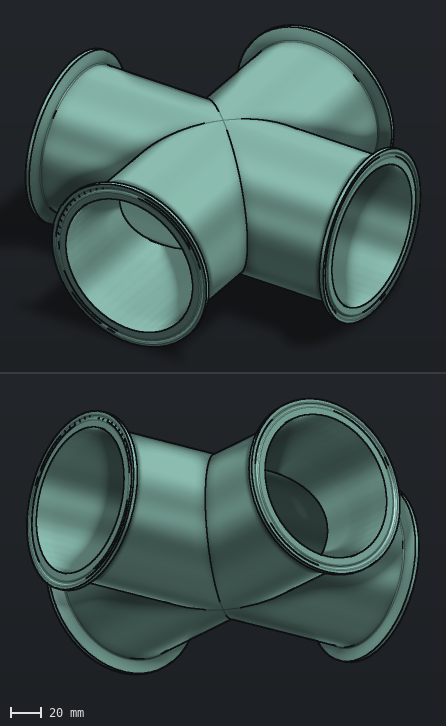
import cadquery as cq
import math

span = 228.5
tube_diameter = 101.5
bore_diameter = 97.4
flange_diameter = 118.9

rim_thickness = 3.0
back_angle = 20.0
root_fillet = 1.0

groove_mean_radius = 55.3
groove_depth = 1.0
groove_floor_radius = 1.4
groove_lip_fillet = 1.0

end_x = span / 2
tube_radius = tube_diameter / 2
flange_radius = flange_diameter / 2
rim_x = end_x - rim_thickness
root_x = rim_x - (flange_radius - tube_radius) * math.tan(math.radians(back_angle))


def revolve_about_x(profile):
    return profile.revolve(360, (0, 0, 0), (1, 0, 0))


def make_gasket_groove():
    """Ring cutter of circular section for the groove in the +X end face."""
    section_x = end_x - groove_depth + groove_floor_radius
    section = cq.Workplane("XY").moveTo(section_x, groove_mean_radius).circle(groove_floor_radius)
    return revolve_about_x(section)


def make_arm():
    """Solid arm along +X, from the centre of the cross to its flanged end."""
    profile = (
        cq.Workplane("XY")
        .lineTo(0, tube_radius)
        .lineTo(root_x, tube_radius)
        .lineTo(rim_x, flange_radius)
        .lineTo(end_x, flange_radius)
        .lineTo(end_x, 0)
        .close()
    )
    root_circle = cq.selectors.NearestToPointSelector((root_x, 0, 0))
    arm = revolve_about_x(profile).edges("%CIRCLE").edges(root_circle).fillet(root_fillet)

    arm = arm.cut(make_gasket_groove())
    inner_lip = cq.selectors.RadiusNthSelector(0)
    outer_lip = cq.selectors.RadiusNthSelector(1)
    return arm.faces(">X").edges(inner_lip + outer_lip).fillet(groove_lip_fillet)


def make_through_pipe():
    """Two opposite arms along the X axis, without the bore."""
    arm = make_arm()
    return arm.union(arm.mirror("YZ"))


def turn_to_y(shape):
    """Turn a shape that lies along X so that it lies along Y."""
    return shape.rotate((0, 0, 0), (0, 0, 1), 90)


bore = cq.Workplane("YZ").circle(bore_diameter / 2).extrude(end_x, both=True)
pipe = make_through_pipe()

result = pipe.union(turn_to_y(pipe))
result = result.cut(bore).cut(turn_to_y(bore))